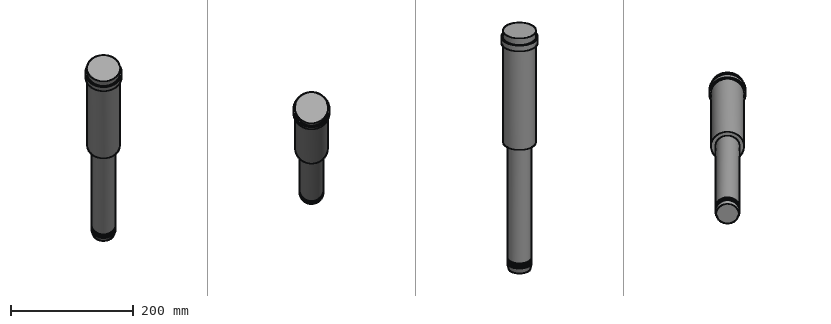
import cadquery as cq

total_length = 443.0
collar_diameter = 60.0

sleeve_diameter = 54.0
sleeve_length = 207.8
collar_height = 10.5
cap_height = 12.0

tube_diameter = 40.0
tip_diameter = 36.5
tip_height = 8.0

groove_count = 3
groove_width = 1.8
groove_depth = 0.5
groove_pitch = 4.0
first_groove_height = 10.0

sleeve_bottom = total_length - sleeve_length
collar_bottom = total_length - cap_height - collar_height


def cylinder(diameter, bottom, height):
    """Upright cylinder centred on the Z axis."""
    return cq.Workplane("XY").workplane(offset=bottom).circle(diameter / 2).extrude(height)


def make_sleeve():
    """Upper sleeve with its raised collar."""
    sleeve = cylinder(sleeve_diameter, sleeve_bottom, sleeve_length)
    collar = cylinder(collar_diameter, collar_bottom, collar_height)
    return sleeve.union(collar)


def make_tube():
    """Lower tube, closed at its end, with a tapered tip."""
    tip_inset = (tube_diameter - tip_diameter) / 2
    tube = cylinder(tube_diameter, 0, sleeve_bottom)
    return tube.faces("<Z").edges().chamfer(tip_height, tip_inset)


def make_groove(bottom):
    """Ring of material removed from the outside of the tube."""
    core = cylinder(tube_diameter - 2 * groove_depth, bottom, groove_width)
    return cylinder(collar_diameter, bottom, groove_width).cut(core)


result = make_sleeve().union(make_tube())
for index in range(groove_count):
    result = result.cut(make_groove(first_groove_height + index * groove_pitch))